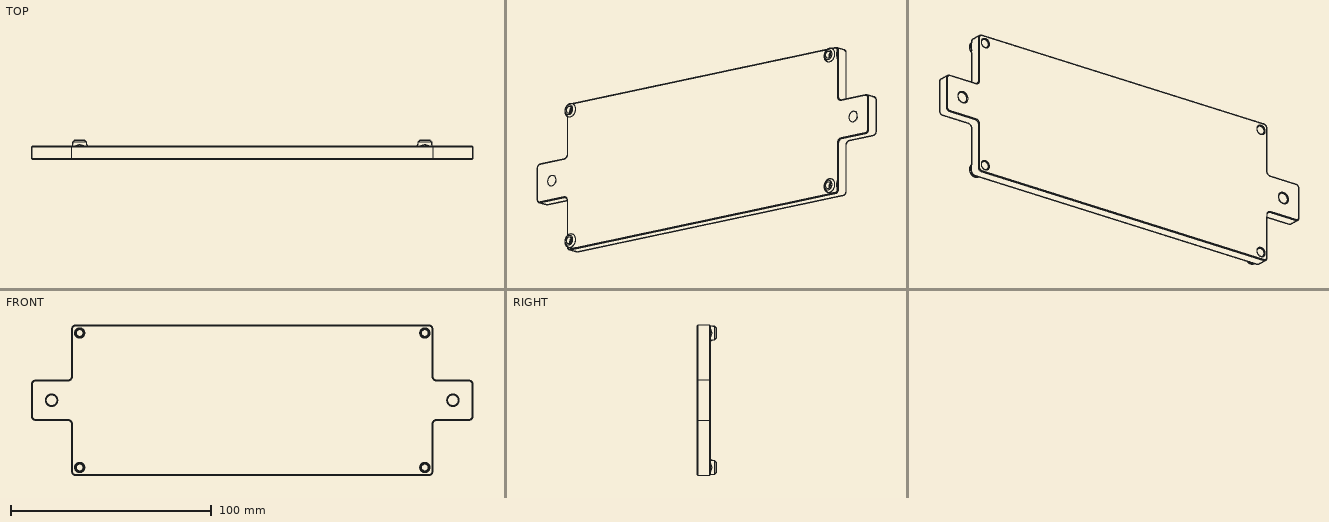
import cadquery as cq
import math

overall_length = 220.0
body_length = 180.0
body_height = 75.0
tab_height = 20.0
plate_thickness = 6.5
corner_radius = 2.0
edge_chamfer = 0.4

tab_length = (overall_length - body_length) / 2
tab_hole_diameter = 5.4
tab_hole_x = (overall_length - tab_length) / 2

overall_thickness = 9.5
boss_inset = 4.0
boss_diameter = 7.0
boss_foot_diameter = 9.55
boss_top_chamfer = 1.0
boss_x = body_length / 2 - boss_inset
boss_z = body_height / 2 - boss_inset

screw_hole_diameter = 3.4
counterbore_diameter = 4.3
counterbore_depth = plate_thickness

boss_centres = [(x, z) for x in (-boss_x, boss_x) for z in (-boss_z, boss_z)]
tab_hole_centres = [(-tab_hole_x, 0), (tab_hole_x, 0)]


def slab(length, height, thickness):
    """Block centred in X and Z that extends from the front face toward +Y."""
    return cq.Workplane("XY").box(length, thickness, height, centered=(True, False, True))


def turned(profile):
    """Closed profile in radius and Y, revolved about the Y axis."""
    return profile.close().revolve(360, (0, 0, 0), (0, 1, 0))


def make_plate():
    """Body and tabs with rounded outline corners and bevelled face edges."""
    body = slab(body_length, body_height, plate_thickness)
    tabs = slab(overall_length, tab_height, plate_thickness)
    plate = body.union(tabs).edges("|Y").fillet(corner_radius)
    return plate.faces("<Y or >Y").chamfer(edge_chamfer)


def make_boss():
    """Chamfered boss with a filleted foot, rooted halfway into the plate."""
    foot_radius = boss_foot_diameter / 2
    boss_radius = boss_diameter / 2
    root_y = plate_thickness / 2
    fillet_radius = foot_radius - boss_radius
    fillet_top_y = plate_thickness + fillet_radius
    fillet_middle = (
        foot_radius - fillet_radius * math.sin(math.pi / 4),
        fillet_top_y - fillet_radius * math.cos(math.pi / 4),
    )
    return turned(
        cq.Workplane("XY")
        .moveTo(0, root_y)
        .lineTo(boss_radius, root_y)
        .lineTo(boss_radius, plate_thickness)
        .lineTo(foot_radius, plate_thickness)
        .threePointArc(fillet_middle, (boss_radius, fillet_top_y))
        .lineTo(boss_radius, overall_thickness - boss_top_chamfer)
        .lineTo(boss_radius - boss_top_chamfer, overall_thickness)
        .lineTo(0, overall_thickness)
    )


def make_bosses():
    """Four corner bosses, trimmed to the flat part of the back face of the body."""
    envelope = slab(
        body_length - 2 * edge_chamfer,
        body_height - 2 * edge_chamfer,
        overall_thickness,
    )
    envelope = envelope.edges("|Y").fillet(corner_radius - edge_chamfer)
    bosses = cq.Workplane("XY")
    for x, z in boss_centres:
        bosses = bosses.add(make_boss().translate((x, 0, z)).intersect(envelope))
    return bosses.combine()


def make_screw_hole():
    """Cutter for a through hole with a counterbore and a chamfered mouth."""
    counterbore_radius = counterbore_diameter / 2
    hole_radius = screw_hole_diameter / 2
    return turned(
        cq.Workplane("XY")
        .lineTo(counterbore_radius + edge_chamfer, 0)
        .lineTo(counterbore_radius, edge_chamfer)
        .lineTo(counterbore_radius, counterbore_depth)
        .lineTo(hole_radius, counterbore_depth)
        .lineTo(hole_radius, overall_thickness)
        .lineTo(0, overall_thickness)
    )


def make_tab_hole():
    """Cutter for a through hole with a chamfered mouth."""
    hole_radius = tab_hole_diameter / 2
    return turned(
        cq.Workplane("XY")
        .lineTo(hole_radius + edge_chamfer, 0)
        .lineTo(hole_radius, edge_chamfer)
        .lineTo(hole_radius, plate_thickness)
        .lineTo(0, plate_thickness)
    )


result = make_plate().union(make_bosses())
for x, z in boss_centres:
    result = result.cut(make_screw_hole().translate((x, 0, z)))
for x, z in tab_hole_centres:
    result = result.cut(make_tab_hole().translate((x, 0, z)))